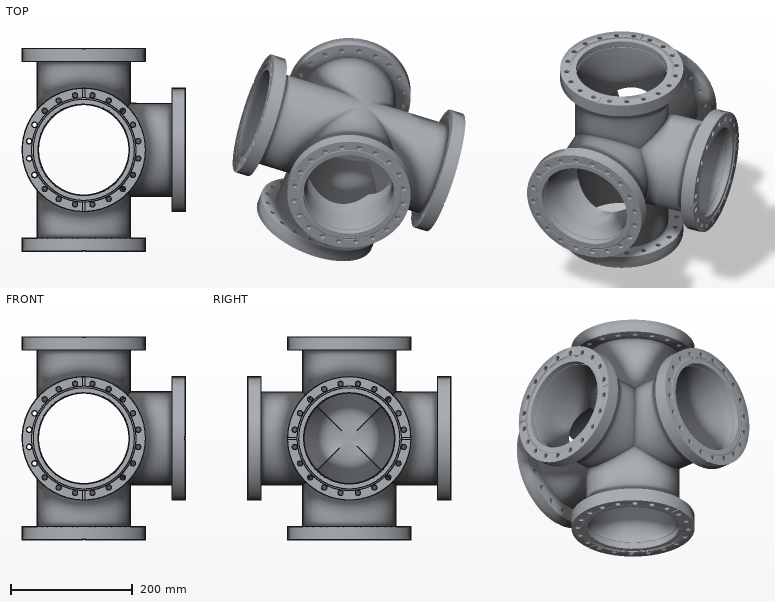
import cadquery as cq

center_to_face = 333.4 / 2

pipe_outer_diameter = 153.0
pipe_wall = 2.25
pipe_inner_diameter = pipe_outer_diameter - 2 * pipe_wall

flange_diameter = 202.4
flange_thickness = 22.0
flange_bore_diameter = 150.0
socket_depth = 9.5

recess_diameter = 171.4
knife_diameter = 166.0
knife_depth = 0.3
recess_depth = 1.2
seat_depth = 1.0

bolt_count = 20
bolt_circle_diameter = 181.2
bolt_hole_diameter = 8.6

groove_width = 3.5
groove_depth = 1.2

pipe_reach = center_to_face - flange_thickness + socket_depth

ports = [
    cq.Plane(origin=(0, 0, 0), xDir=(0, 0, 1), normal=(1, 0, 0)),
    cq.Plane(origin=(0, 0, 0), xDir=(1, 0, 0), normal=(0, 1, 0)),
    cq.Plane(origin=(0, 0, 0), xDir=(1, 0, 0), normal=(0, -1, 0)),
    cq.Plane(origin=(0, 0, 0), xDir=(1, 0, 0), normal=(0, 0, 1)),
    cq.Plane(origin=(0, 0, 0), xDir=(1, 0, 0), normal=(0, 0, -1)),
]


def joined_branches(diameter):
    """One solid cylinder per port, all meeting at the cross center."""
    branches = [cq.Workplane(port).circle(diameter / 2).extrude(pipe_reach) for port in ports]
    joined = branches[0]
    for branch in branches[1:]:
        joined = joined.union(branch)
    return joined


def make_pipe_cross():
    return joined_branches(pipe_outer_diameter).cut(joined_branches(pipe_inner_diameter))


def flange_blank():
    """Ring turned about the local Y axis, with the sealing face at center_to_face."""
    back = center_to_face - flange_thickness
    bore_radius = flange_bore_diameter / 2
    socket_radius = pipe_outer_diameter / 2
    flange_radius = flange_diameter / 2
    recess_radius = recess_diameter / 2
    knife_radius = knife_diameter / 2
    knife_level = center_to_face - knife_depth
    seat_level = center_to_face - seat_depth
    profile = [
        (socket_radius, back),
        (flange_radius, back),
        (flange_radius, center_to_face),
        (recess_radius, center_to_face),
        (recess_radius, center_to_face - recess_depth),
        (knife_radius, knife_level),
        (knife_radius, seat_level),
        (bore_radius, seat_level),
        (bore_radius, pipe_reach),
        (socket_radius, pipe_reach),
    ]
    turned = cq.Workplane("XY").polyline(profile).close().revolve(360, (0, 0, 0), (0, 1, 0))
    return turned.rotate((0, 0, 0), (1, 0, 0), 90)


def make_flange():
    """Flange of the +Z port."""
    face = cq.Workplane("XY", origin=(0, 0, center_to_face))
    half_step = 360 / bolt_count / 2
    bolt_holes = (
        face.polarArray(bolt_circle_diameter / 2, half_step, 360, bolt_count)
        .circle(bolt_hole_diameter / 2)
        .extrude(-flange_thickness)
    )
    inside_recess = face.circle(recess_diameter / 2).extrude(-groove_depth)
    grooves = face.rect(groove_width, flange_diameter).extrude(-groove_depth).cut(inside_recess)
    return flange_blank().cut(bolt_holes).cut(grooves)


pipe_cross = make_pipe_cross()
flange = make_flange()
flanges = [flange.val().moved(port.location) for port in ports]

result = cq.Compound.makeCompound([pipe_cross.val(), *flanges])